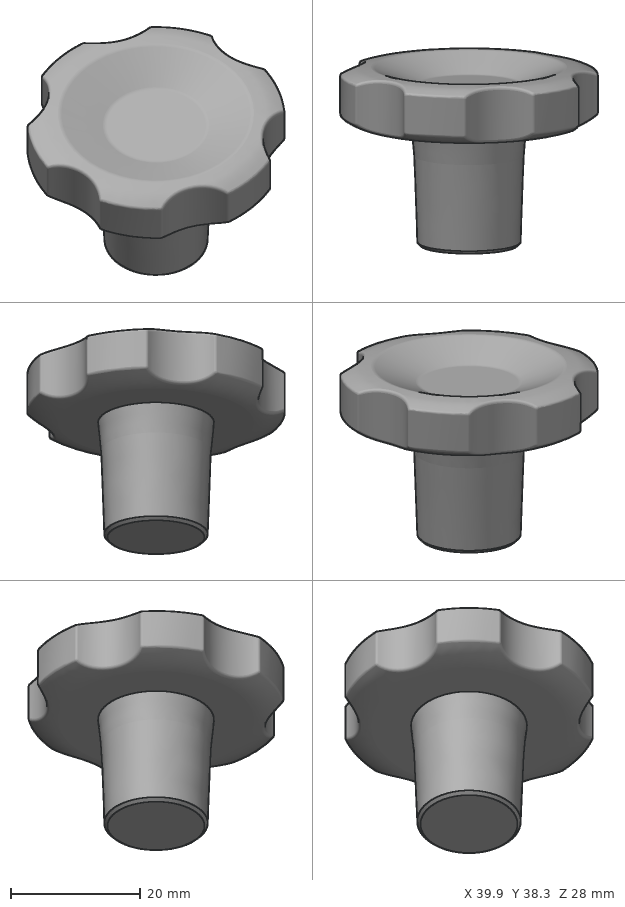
import cadquery as cq
import math

HEAD_RADIUS = 19.95
HEAD_HEIGHT = 9.1
STEM_LENGTH = 18.9
TOTAL_HEIGHT = STEM_LENGTH + HEAD_HEIGHT

DOME_START_RADIUS = 15.15
UPPER_DOME_DROP = 1.08
LOWER_DOME_DROP = 1.67

STEM_TOP_RADIUS = 8.97
STEM_MIDDLE_RADIUS = 8.5
STEM_END_RADIUS = 8.0
UPPER_TAPER_LENGTH = 4.8
END_CHAMFER = 0.5

DISH_DEPTH = 2.7
DISH_SLOPE = 21.4
DISH_BLEND = 1.45

SCALLOP_COUNT = 6
FIRST_SCALLOP_ANGLE = 90
SCALLOP_RADIUS = 7.8
SCALLOP_FLOOR_RADIUS = 17.05
EDGE_FILLET = 0.5


def dome_drop_at(radius, edge_drop):
    """Drop below the flat face, at a distance from the axis, of a dome with the given drop at its edge."""
    run = HEAD_RADIUS - DOME_START_RADIUS
    arc_radius = (run**2 + edge_drop**2) / (2 * edge_drop)
    return arc_radius - math.sqrt(arc_radius**2 - (radius - DOME_START_RADIUS) ** 2)


def make_head():
    """Revolved disc with domed shoulders on both faces."""
    middle_radius = (HEAD_RADIUS + DOME_START_RADIUS) / 2
    lower_edge = STEM_LENGTH + LOWER_DOME_DROP
    upper_edge = TOTAL_HEIGHT - UPPER_DOME_DROP
    lower_middle = STEM_LENGTH + dome_drop_at(middle_radius, LOWER_DOME_DROP)
    upper_middle = TOTAL_HEIGHT - dome_drop_at(middle_radius, UPPER_DOME_DROP)
    return (
        cq.Workplane("XZ")
        .moveTo(0, STEM_LENGTH)
        .lineTo(DOME_START_RADIUS, STEM_LENGTH)
        .threePointArc((middle_radius, lower_middle), (HEAD_RADIUS, lower_edge))
        .lineTo(HEAD_RADIUS, upper_edge)
        .threePointArc((middle_radius, upper_middle), (DOME_START_RADIUS, TOTAL_HEIGHT))
        .lineTo(0, TOTAL_HEIGHT)
        .close()
        .revolve(360, (0, 0, 0), (0, 1, 0))
    )


def cut_scallops(head):
    """Cut the finger scallops and round every outer edge of the head."""
    center_distance = SCALLOP_FLOOR_RADIUS + SCALLOP_RADIUS
    scallops = (
        cq.Workplane("XY")
        .workplane(offset=STEM_LENGTH)
        .polarArray(center_distance, FIRST_SCALLOP_ANGLE, 360, SCALLOP_COUNT)
        .circle(SCALLOP_RADIUS)
        .extrude(HEAD_HEIGHT)
    )
    head = head.cut(scallops)
    level_margin = EDGE_FILLET / 10
    reach = 2 * HEAD_RADIUS
    between_faces = cq.selectors.BoxSelector(
        (-reach, -reach, STEM_LENGTH + level_margin),
        (reach, reach, TOTAL_HEIGHT - level_margin),
    )
    return head.edges(between_faces).fillet(EDGE_FILLET)


def make_dish():
    """Revolved cutter for the dish, with tangent arcs at its rim and floor."""
    slope = math.radians(DISH_SLOPE)
    tangent = DISH_BLEND * math.tan(slope / 2)
    rim_radius = DOME_START_RADIUS - tangent
    floor_radius = rim_radius - DISH_DEPTH / math.tan(slope)
    floor = TOTAL_HEIGHT - DISH_DEPTH
    along_r = tangent * math.cos(slope)
    along_z = tangent * math.sin(slope)
    arc_r = DISH_BLEND * math.sin(slope / 2)
    arc_z = DISH_BLEND * (1 - math.cos(slope / 2))
    floor_start = floor_radius - tangent
    return (
        cq.Workplane("XZ")
        .moveTo(0, floor)
        .lineTo(floor_start, floor)
        .threePointArc((floor_start + arc_r, floor + arc_z), (floor_radius + along_r, floor + along_z))
        .lineTo(rim_radius - along_r, TOTAL_HEIGHT - along_z)
        .threePointArc((DOME_START_RADIUS - arc_r, TOTAL_HEIGHT - arc_z), (DOME_START_RADIUS, TOTAL_HEIGHT))
        .lineTo(0, TOTAL_HEIGHT)
        .close()
        .revolve(360, (0, 0, 0), (0, 1, 0))
    )


def make_stem():
    """Revolved stem, reaching up to the underside of the head."""
    return (
        cq.Workplane("XZ")
        .lineTo(STEM_END_RADIUS - END_CHAMFER, 0)
        .lineTo(STEM_END_RADIUS, END_CHAMFER)
        .lineTo(STEM_MIDDLE_RADIUS, STEM_LENGTH - UPPER_TAPER_LENGTH)
        .lineTo(STEM_TOP_RADIUS, STEM_LENGTH)
        .lineTo(0, STEM_LENGTH)
        .close()
        .revolve(360, (0, 0, 0), (0, 1, 0))
    )


result = cut_scallops(make_head()).cut(make_dish()).union(make_stem())